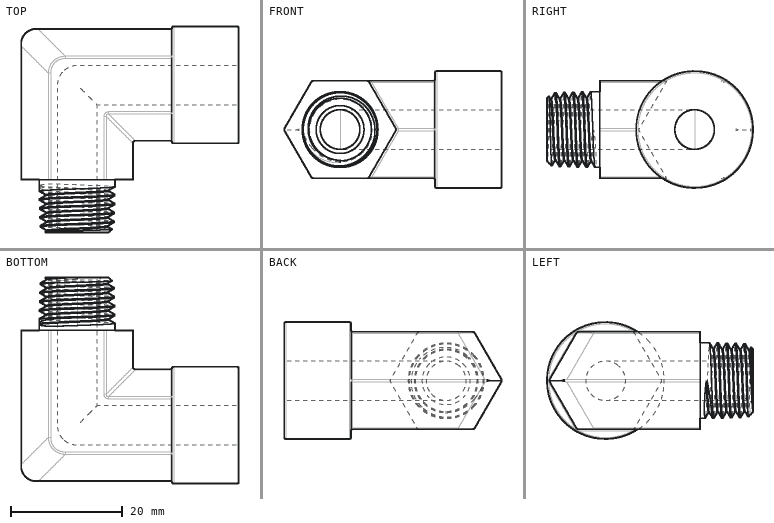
import cadquery as cq
import math


HEX_FLATS = 17.5
HEX_CORNERS = HEX_FLATS * 2 / math.sqrt(3)
LEG_LENGTH = 17.0
BAR_OVERRUN = HEX_CORNERS
BAR_LENGTH = LEG_LENGTH + BAR_OVERRUN
EDGE_FILLET = 0.5
OUTER_BEND_FILLET = 3.5

COLLAR_RADIUS = 10.5
COLLAR_LENGTH = 12.0
COLLAR_EDGE_FILLET = 0.3
NECK_FILLET = 0.25
FEMALE_END = LEG_LENGTH + COLLAR_LENGTH

STUD_RADIUS = 6.8
STUD_LENGTH = 9.5
STUD_PARALLEL_LENGTH = 2.0
STUD_CHAMFER = 0.95
RADIUS_TAPER = 1 / 32
MALE_END = LEG_LENGTH + STUD_LENGTH

PITCH = 1.6
GROOVE_DEPTH = 1.05
GROOVE_ROOT_WIDTH = 0.17
FLANK_ANGLE = math.radians(30)
GROOVE_START = 1.16
RUN_IN_TURNS = 0.25
RUN_IN_STEEPNESS = 3
RUN_IN_LIFT = 0.05
CUTTER_CLEARANCE = 0.1
CUTTER_STEPS = 12

BORE_RADIUS = 3.55
BORE_CHAMFER = 0.75

TOLERANCE = 1e-3


def is_outside_bend(edge):
    center = edge.Center()
    return center.x < 0 or center.y > 0


def is_mitre(edge):
    direction = edge.tangentAt(0.5)
    return min(abs(direction.x), abs(direction.y), abs(direction.z)) > TOLERANCE


def is_leg_end(edge):
    center = edge.Center()
    return max(center.x, -center.y) > LEG_LENGTH - TOLERANCE


def fillet_where(body, condition, radius):
    """Round the edges of the body that meet the condition."""
    edges = [edge for edge in body.edges().vals() if condition(edge)]
    return body.newObject(edges).fillet(radius)


def mitred_bars(male_bar, female_bar):
    """Join the two bars along the diagonal plane through their crossing axes."""
    male_side = (
        cq.Workplane("XY")
        .polyline([(-BAR_LENGTH, BAR_LENGTH), (BAR_LENGTH, -BAR_LENGTH), (-BAR_LENGTH, -BAR_LENGTH)])
        .close()
        .extrude(HEX_FLATS, both=True)
    )
    return male_bar.intersect(male_side).union(female_bar.cut(male_side))


def hex_elbow():
    """Hexagonal bar mitred at the origin, with its bend and long edges rounded."""
    male_bar = cq.Workplane("XZ", origin=(0, BAR_OVERRUN, 0)).polygon(6, HEX_CORNERS).extrude(BAR_LENGTH)
    female_bar = cq.Workplane("YZ", origin=(-BAR_OVERRUN, 0, 0)).polygon(6, HEX_CORNERS).extrude(BAR_LENGTH)
    sharp_elbow = mitred_bars(male_bar, female_bar)

    def is_outer_bend(edge):
        return is_mitre(edge) and is_outside_bend(edge)

    def is_outer_flat_edge(edge):
        at_flat = abs(edge.Center().z) > HEX_FLATS / 2 - TOLERANCE
        return at_flat and is_outside_bend(edge) and edge.geomType() == "LINE" and not is_leg_end(edge)

    def is_inner_edge(edge):
        return not is_outside_bend(edge) and not is_leg_end(edge)

    elbow = fillet_where(sharp_elbow, is_outer_bend, OUTER_BEND_FILLET)
    elbow = fillet_where(elbow, is_outer_flat_edge, EDGE_FILLET)
    elbow = fillet_where(elbow, is_inner_edge, EDGE_FILLET)

    straight_rounded_elbow = mitred_bars(
        male_bar.edges("<X").fillet(EDGE_FILLET),
        female_bar.edges(">Y").fillet(EDGE_FILLET),
    )
    rounded_off = sharp_elbow.cut(straight_rounded_elbow)
    return elbow.cut(rounded_off)


def add_collar(body):
    """Round collar on the female leg, with a small fillet where the hexagon meets its face."""
    collar = (
        cq.Workplane("YZ", origin=(LEG_LENGTH, 0, 0))
        .circle(COLLAR_RADIUS)
        .extrude(COLLAR_LENGTH)
        .edges("%CIRCLE")
        .fillet(COLLAR_EDGE_FILLET)
    )

    def is_neck(edge):
        box = edge.BoundingBox()
        in_collar_face = max(abs(box.xmin - LEG_LENGTH), abs(box.xmax - LEG_LENGTH)) < TOLERANCE
        middle = edge.positionAt(0.5)
        return in_collar_face and math.hypot(middle.y, middle.z) < HEX_CORNERS / 2

    return fillet_where(body.union(collar), is_neck, NECK_FILLET)


def stud_blank():
    """Plain stud: parallel next to the hexagon, then tapering to a chamfered end."""
    end_radius = STUD_RADIUS - RADIUS_TAPER * (STUD_LENGTH - STUD_PARALLEL_LENGTH)
    profile = [
        (0, -LEG_LENGTH),
        (STUD_RADIUS, -LEG_LENGTH),
        (STUD_RADIUS, -LEG_LENGTH - STUD_PARALLEL_LENGTH),
        (end_radius, -MALE_END),
        (0, -MALE_END),
    ]
    blank = cq.Workplane("XY").polyline(profile).close().revolve(360, (0, 0), (0, 1))
    return blank.faces("<Y").chamfer(STUD_CHAMFER)


def groove_cutter(first_turn, last_turn):
    """Stretch of the helical V-groove, counted in turns from its start on the -X side."""
    root_half = GROOVE_ROOT_WIDTH / 2
    height = GROOVE_DEPTH + CUTTER_CLEARANCE
    mouth_half = root_half + height * math.tan(FLANK_ANGLE)

    def groove_edge(rise, shift):
        points = []
        for step in range(CUTTER_STEPS + 1):
            turn = first_turn + (last_turn - first_turn) * step / CUTTER_STEPS
            travel = PITCH * turn
            run_in = min(turn / RUN_IN_TURNS, 1)
            lift = (GROOVE_DEPTH + RUN_IN_LIFT) * (1 - run_in) ** RUN_IN_STEEPNESS
            radius = STUD_RADIUS - GROOVE_DEPTH - RADIUS_TAPER * travel + lift + rise
            angle = 2 * math.pi * turn
            along = LEG_LENGTH + GROOVE_START + travel + shift
            points.append(cq.Vector(-radius * math.cos(angle), -along, -radius * math.sin(angle)))
        return cq.Edge.makeSpline(points)

    corners = [(0, -root_half), (0, root_half), (height, mouth_half), (height, -mouth_half)]
    edges = [groove_edge(rise, shift) for rise, shift in corners]
    faces = [cq.Face.makeRuledSurface(edges[i - 1], edges[i]) for i in range(len(edges))]
    for end in (0, 1):
        outline = cq.Wire.makePolygon([edge.positionAt(end) for edge in edges], close=True)
        faces.append(cq.Face.makeFromWires(outline))
    return cq.Workplane(cq.Solid.makeSolid(cq.Shell.makeShell(faces)))


def threaded_stud():
    """Stud with the groove cut in stretches: first the run-in, then one turn at a time."""
    stud = stud_blank().cut(groove_cutter(0, RUN_IN_TURNS))
    full_turns = math.ceil((STUD_LENGTH - GROOVE_START) / PITCH - RUN_IN_TURNS)
    for turn in range(full_turns):
        stud = stud.cut(groove_cutter(RUN_IN_TURNS + turn, RUN_IN_TURNS + turn + 1))
    return stud


def bore():
    """Passage through both legs, turning through a ball at the origin."""
    male = cq.Workplane("XZ").circle(BORE_RADIUS).extrude(MALE_END)
    female = cq.Workplane("YZ").circle(BORE_RADIUS).extrude(FEMALE_END)
    mouth = cq.Workplane(
        cq.Solid.makeCone(
            BORE_RADIUS + BORE_CHAMFER,
            BORE_RADIUS,
            BORE_CHAMFER,
            pnt=cq.Vector(0, -MALE_END, 0),
            dir=cq.Vector(0, 1, 0),
        )
    )
    return male.union(female).union(cq.Workplane("XY").sphere(BORE_RADIUS)).union(mouth)


result = add_collar(hex_elbow()).union(threaded_stud()).cut(bore())